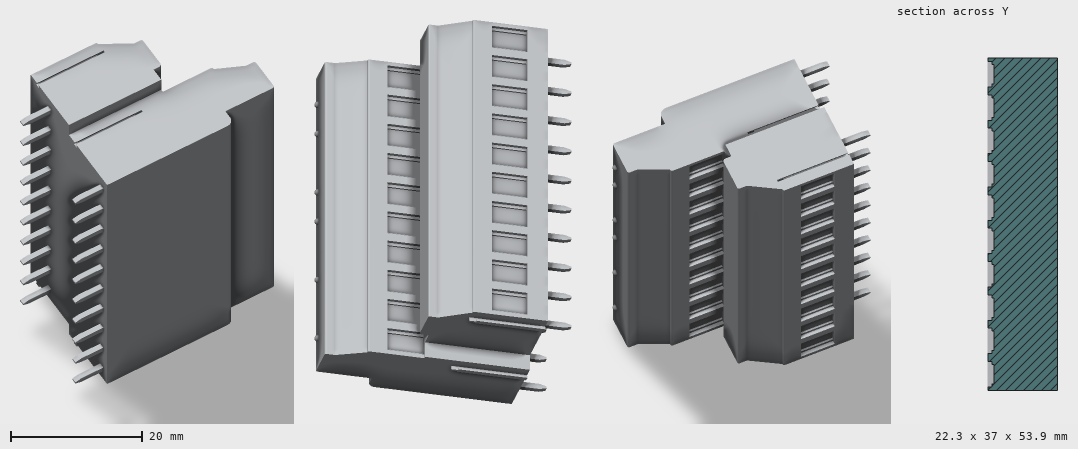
import cadquery as cq

PITCH = 5.08
POLES = 10
ROW_LENGTH = POLES * PITCH
ROW_OFFSET = PITCH / 2

HOUSING_WIDTH = 22.3
SPLIT_X = HOUSING_WIDTH / 2
FRONT_HEIGHT = 18.0
REAR_HEIGHT = 31.5

FRONT_LEDGE_HEIGHT = 11.8
FRONT_LEDGE_WIDTH = 0.3
FRONT_SLOPE_END = 16.5
FRONT_HEAD_LEFT = 3.1
FRONT_HEAD_RIGHT = 8.9
FRONT_EDGE_RADIUS = 0.25
FRONT_HEAD_RIGHT_RADIUS = 0.5

REAR_FACE_X = 11.6
REAR_LEDGE_HEIGHT = 25.38
REAR_LEDGE_WIDTH = 0.38
REAR_SLOPE_END = 29.9
REAR_HEAD_LEFT = 14.0
REAR_HEAD_RIGHT = 19.75
REAR_SHOULDER_HEIGHT = 22.7
SHOULDER_RADIUS = 1.2
REAR_EDGE_RADIUS = 0.35

ENTRY_HEIGHT = 3.8
ENTRY_DEPTH = 0.6
ENTRY_FLOOR_HEIGHT = 2.9
ENTRY_FLOOR_DEPTH = 0.9
FRONT_ENTRY_SPAN = (3.25, 8.85)
REAR_ENTRY_SPAN = (FRONT_SLOPE_END, 22.3)

RIB_LENGTH = 11.9
RIB_PROJECTION = 0.6
RIB_NECK_WIDTH = 0.36
RIB_FLARE_WIDTH = 0.8
RIB_FLARE_DROP = 0.4
RIB_FLARE_LENGTH = 10.8
FRONT_RIB_X = 2.0
REAR_RIB_X = 13.05

PIN_SIZE = 0.9
PIN_LENGTH = 5.0
PIN_TAPER_LENGTH = 1.1
PIN_TIP_THICKNESS = 0.3
PIN_ROOT = 1.0
FRONT_PIN_X = 5.53
PIN_ROW_SPACING = 15.24
REAR_PIN_X = FRONT_PIN_X + PIN_ROW_SPACING

NUB_RADIUS = 0.5
NUB_X = 18.5
NUB_STEPS = (1, 2, 4, 5, 7, 9)


def box(x_min, x_max, y_min, y_max, z_min, z_max):
    """Box given by its limits along each axis."""
    size = (x_max - x_min, y_max - y_min, z_max - z_min)
    return cq.Workplane("XY").box(*size, centered=False).translate((x_min, y_min, z_min))


def round_edges(body, points, radius):
    """Round the upright edges of a prism that pass through the given section points."""
    for x, y in points:
        body = body.edges(cq.selectors.NearestToPointSelector((x, y, ROW_LENGTH / 2))).fillet(radius)
    return body


def front_section():
    """Low terminal row, standing on Z = 0."""
    body = (
        cq.Workplane("XY")
        .polyline([
            (0, 0),
            (0, FRONT_LEDGE_HEIGHT),
            (FRONT_LEDGE_WIDTH, FRONT_LEDGE_HEIGHT),
            (FRONT_HEAD_LEFT, FRONT_SLOPE_END),
            (FRONT_HEAD_LEFT, FRONT_HEIGHT),
            (FRONT_HEAD_RIGHT, FRONT_HEIGHT),
            (FRONT_HEAD_RIGHT, FRONT_SLOPE_END),
            (SPLIT_X, FRONT_SLOPE_END),
            (SPLIT_X, 0),
        ])
        .close()
        .extrude(ROW_LENGTH)
    )
    left_edges = [(0, FRONT_LEDGE_HEIGHT), (FRONT_HEAD_LEFT, FRONT_HEIGHT)]
    body = round_edges(body, left_edges, FRONT_EDGE_RADIUS)
    return round_edges(body, [(FRONT_HEAD_RIGHT, FRONT_HEIGHT)], FRONT_HEAD_RIGHT_RADIUS)


def rear_section():
    """Tall terminal row, standing on Z = 0."""
    body = (
        cq.Workplane("XY")
        .polyline([
            (SPLIT_X, 0),
            (SPLIT_X, FRONT_SLOPE_END),
            (REAR_FACE_X, FRONT_SLOPE_END),
            (REAR_FACE_X, REAR_LEDGE_HEIGHT),
            (REAR_FACE_X + REAR_LEDGE_WIDTH, REAR_LEDGE_HEIGHT),
            (REAR_HEAD_LEFT, REAR_SLOPE_END),
            (REAR_HEAD_LEFT, REAR_HEIGHT),
            (REAR_HEAD_RIGHT, REAR_HEIGHT),
            (REAR_HEAD_RIGHT, REAR_SHOULDER_HEIGHT),
            (HOUSING_WIDTH, REAR_SHOULDER_HEIGHT),
            (HOUSING_WIDTH, 0),
        ])
        .close()
        .extrude(ROW_LENGTH)
    )
    upper_edges = [
        (REAR_FACE_X, REAR_LEDGE_HEIGHT),
        (REAR_HEAD_LEFT, REAR_HEIGHT),
        (REAR_HEAD_RIGHT, REAR_HEIGHT),
    ]
    body = round_edges(body, upper_edges, REAR_EDGE_RADIUS)
    return round_edges(body, [(HOUSING_WIDTH, REAR_SHOULDER_HEIGHT)], SHOULDER_RADIUS)


def wire_entry(face_x, y_span, z_center):
    """Shallow recess with a slightly deeper band along its middle."""
    y_min, y_max = y_span

    def layer(depth, height):
        return box(face_x, face_x + depth, y_min, y_max, z_center - height / 2, z_center + height / 2)

    return layer(ENTRY_DEPTH, ENTRY_HEIGHT).union(layer(ENTRY_FLOOR_DEPTH, ENTRY_FLOOR_HEIGHT))


def joining_rib(x):
    """Dovetail rib hanging below Z = 0, with its flared part ending short of the straight neck."""
    half_neck = RIB_NECK_WIDTH / 2
    half_flare = RIB_FLARE_WIDTH / 2
    neck = box(x - half_neck, x + half_neck, 0, RIB_LENGTH, -RIB_PROJECTION, 0)
    flare = (
        cq.Workplane("XZ")
        .polyline([
            (x - half_neck, 0),
            (x + half_neck, 0),
            (x + half_flare, -RIB_FLARE_DROP),
            (x + half_flare, -RIB_PROJECTION),
            (x - half_flare, -RIB_PROJECTION),
            (x - half_flare, -RIB_FLARE_DROP),
        ])
        .close()
        .extrude(-RIB_FLARE_LENGTH)
    )
    return neck.union(flare)


def solder_pin(x, z):
    """Square pin along -Y, tapered in thickness at its tip and rooted inside the housing."""
    half_size = PIN_SIZE / 2
    half_tip = PIN_TIP_THICKNESS / 2
    taper_y = PIN_TAPER_LENGTH - PIN_LENGTH
    return (
        cq.Workplane("YZ")
        .polyline([
            (PIN_ROOT, -half_size),
            (PIN_ROOT, half_size),
            (taper_y, half_size),
            (-PIN_LENGTH, half_tip),
            (-PIN_LENGTH, -half_tip),
            (taper_y, -half_size),
        ])
        .close()
        .extrude(half_size, both=True)
        .translate((x, 0, z))
    )


def terminal_row(body, face_x, entry_span, rib_x, pin_x):
    """Complete one row with its wire entries, end rib, end groove and solder pins."""
    rib = joining_rib(rib_x)
    body = body.cut(rib.translate((0, 0, ROW_LENGTH))).union(rib)
    for pole in range(POLES):
        z = (pole + 0.5) * PITCH
        body = body.cut(wire_entry(face_x, entry_span, z))
        body = body.union(solder_pin(pin_x, z))
    return body


def add_nubs(body):
    """Half-round nubs on top of the rear head."""
    for step in NUB_STEPS:
        nub = cq.Workplane("XY").sphere(NUB_RADIUS)
        body = body.union(nub.translate((NUB_X, REAR_HEIGHT, ROW_LENGTH - step * PITCH)))
    return body


front_row = terminal_row(front_section(), 0, FRONT_ENTRY_SPAN, FRONT_RIB_X, FRONT_PIN_X)
rear_row = terminal_row(rear_section(), REAR_FACE_X, REAR_ENTRY_SPAN, REAR_RIB_X, REAR_PIN_X)
result = add_nubs(rear_row).union(front_row.translate((0, 0, ROW_OFFSET)))